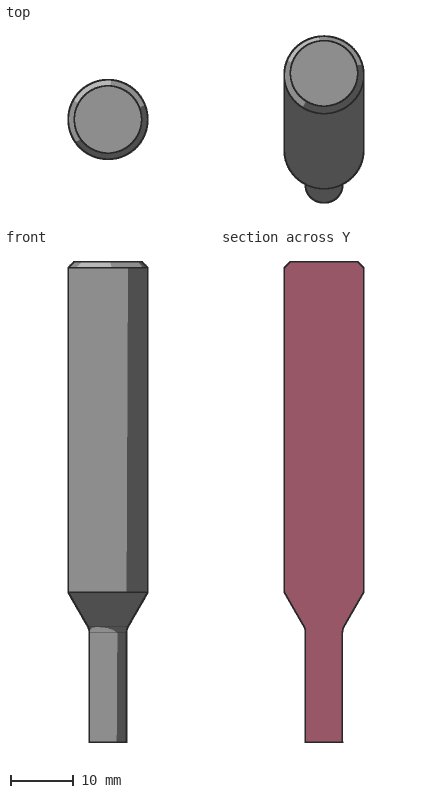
import cadquery as cq
import math

total_length = 76.5
shank_diameter = 12.7
tip_diameter = 6.0
chamfer = 1.0
shank_length = 52.65
cone_half_angle = math.radians(30)
neck_fillet_radius = 2.0

shank_radius = shank_diameter / 2
tip_radius = tip_diameter / 2
bottom = -total_length / 2
top = bottom + total_length
cone_top = top - shank_length


def fillet_offset(angle):
    """Radial growth of the neck fillet after it has turned by an angle."""
    return neck_fillet_radius * (1 - math.cos(angle))


neck_radius = tip_radius + fillet_offset(cone_half_angle)
neck_top = cone_top - (shank_radius - neck_radius) / math.tan(cone_half_angle)
tip_top = neck_top - neck_fillet_radius * math.sin(cone_half_angle)
middle_angle = cone_half_angle / 2
fillet_middle = (
    tip_radius + fillet_offset(middle_angle),
    tip_top + neck_fillet_radius * math.sin(middle_angle),
)

profile = (
    cq.Workplane("XZ")
    .moveTo(0, bottom)
    .lineTo(tip_radius, bottom)
    .lineTo(tip_radius, tip_top)
    .threePointArc(fillet_middle, (neck_radius, neck_top))
    .lineTo(shank_radius, cone_top)
    .lineTo(shank_radius, top - chamfer)
    .lineTo(shank_radius - chamfer, top)
    .lineTo(0, top)
    .close()
)

result = profile.revolve(360, (0, 0, 0), (0, 1, 0))